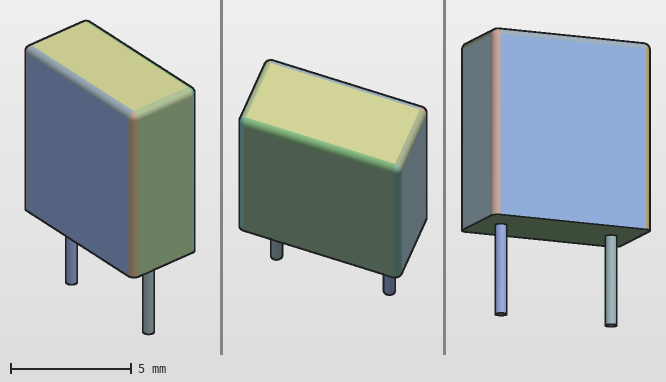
import cadquery as cq

total_height = 11.8
housing_width = 7.2
housing_depth = 3.5
housing_height = 8.0
edge_radius = 0.3

lead_diameter = 0.5
lead_spacing = 5.0
lead_length = total_height - housing_height


def make_housing():
    """Box standing on Z = 0, rounded everywhere except around its flat base."""
    return (
        cq.Workplane("XY")
        .box(housing_width, housing_depth, housing_height, centered=(True, True, False))
        .edges("|Z or >Z")
        .fillet(edge_radius)
    )


def make_lead(x):
    """Round wire hanging straight down from the housing base."""
    return cq.Workplane("XY").center(x, 0).circle(lead_diameter / 2).extrude(-lead_length)


housing = make_housing()
leads = [make_lead(side * lead_spacing / 2) for side in (-1, 1)]

result = cq.Compound.makeCompound([housing.val(), *[lead.val() for lead in leads]])